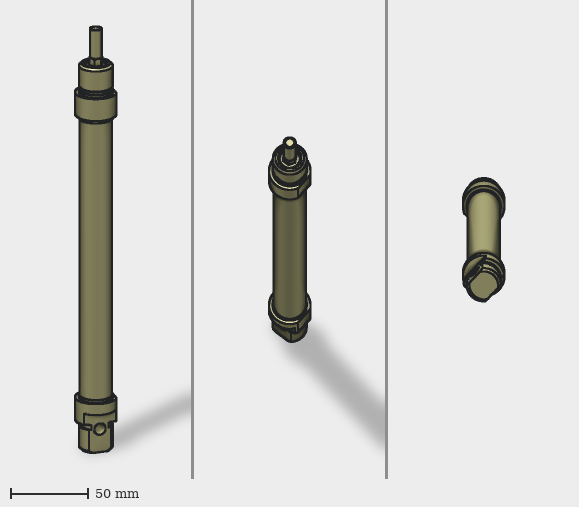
import cadquery as cq
import math

TOTAL_LENGTH = 291.0

THREAD_DIAMETER = 22.0
UNDERCUT_DIAMETER = 19.8
CHAMFER_END_DIAMETER = 18.5
FLANGE_DIAMETER = 27.0
FLANGE_DEPTH = 25.5
FLANGE_FLAT_OFFSET = FLANGE_DEPTH - FLANGE_DIAMETER / 2
END_CHAMFER_HEIGHT = 1.7
UNDERCUT_SLOPE_HEIGHT = 1.0

HOLE_LEVEL = 16.0
REAR_THREAD_TOP = 16.3
REAR_FLANGE_BOTTOM = 20.0
TONGUE_TOP = 28.0
REAR_FLANGE_TOP = 35.5
REAR_CAP_TOP = 37.2

TONGUE_WIDTH = 16.0
HOLE_DIAMETER = 8.0

BARREL_DIAMETER = 21.2

FRONT_CAP_BOTTOM = 229.0
FRONT_FLANGE_BOTTOM = 231.5
FRONT_FLANGE_TOP = 246.8
COLLAR_TOP = 248.5
FRONT_THREAD_BOTTOM = 251.0
FRONT_CAP_TOP = 266.8

RECESS_DIAMETER = 15.0
RECESS_FLOOR_DIAMETER = 13.0
RECESS_DEPTH = 1.0
RECESS_FLOOR = FRONT_CAP_TOP - RECESS_DEPTH

ROD_THREAD_DIAMETER = 8.0
HEX_ACROSS_FLATS = ROD_THREAD_DIAMETER
HEX_TOP = 271.2
HEX_CHAMFER_HEIGHT = 1.0
ROD_END_DIAMETER = 6.0
ROD_END_CHAMFER_HEIGHT = 0.3


def cylinder(diameter, bottom, top):
    """Round bar about the Z axis between two levels."""
    return cq.Workplane("XY").workplane(offset=bottom).circle(diameter / 2).extrude(top - bottom)


def flange(bottom, top):
    """Round flange with one flat on its +Y side."""
    disc = cylinder(FLANGE_DIAMETER, bottom, top)
    keep = (
        cq.Workplane("XY")
        .box(FLANGE_DIAMETER, FLANGE_DEPTH, top - bottom)
        .translate((0, FLANGE_FLAT_OFFSET - FLANGE_DEPTH / 2, (bottom + top) / 2))
    )
    return disc.intersect(keep)


def turned(points):
    """Solid of revolution about Z from (radius, level) points."""
    return cq.Workplane("XZ").polyline(points).close().revolve(360, (0, 0), (0, 1))


def undercut(bottom, top):
    """Neck that slopes back out to the thread diameter at its upper end."""
    return turned([
        (0, bottom),
        (UNDERCUT_DIAMETER / 2, bottom),
        (UNDERCUT_DIAMETER / 2, top - UNDERCUT_SLOPE_HEIGHT),
        (THREAD_DIAMETER / 2, top),
        (0, top),
    ])


def make_rear_cap():
    """Threaded rear cap milled to a flat tongue with a pivot hole along X."""
    thread = turned([
        (0, 0),
        (CHAMFER_END_DIAMETER / 2, 0),
        (THREAD_DIAMETER / 2, END_CHAMFER_HEIGHT),
        (THREAD_DIAMETER / 2, REAR_THREAD_TOP),
        (0, REAR_THREAD_TOP),
    ])
    neck = undercut(REAR_THREAD_TOP, REAR_FLANGE_BOTTOM)
    lip = cylinder(THREAD_DIAMETER, REAR_FLANGE_TOP, REAR_CAP_TOP)
    cap = thread.union(neck).union(flange(REAR_FLANGE_BOTTOM, REAR_FLANGE_TOP)).union(lip)

    side_cut_width = (FLANGE_DIAMETER - TONGUE_WIDTH) / 2
    for side in (-1, 1):
        side_cut = (
            cq.Workplane("XY")
            .box(side_cut_width, FLANGE_DIAMETER, TONGUE_TOP)
            .translate((side * (TONGUE_WIDTH + side_cut_width) / 2, 0, TONGUE_TOP / 2))
        )
        cap = cap.cut(side_cut)

    pivot_hole = (
        cq.Workplane("YZ")
        .center(0, HOLE_LEVEL)
        .circle(HOLE_DIAMETER / 2)
        .extrude(TONGUE_WIDTH / 2, both=True)
    )
    return cap.cut(pivot_hole)


def make_barrel():
    """Plain round barrel held between the two caps."""
    return cylinder(BARREL_DIAMETER, REAR_CAP_TOP, FRONT_CAP_BOTTOM)


def make_front_cap():
    """Threaded front cap with a tapered recess around the rod."""
    lip = cylinder(THREAD_DIAMETER, FRONT_CAP_BOTTOM, FRONT_FLANGE_BOTTOM)
    collar = cylinder(THREAD_DIAMETER, FRONT_FLANGE_TOP, COLLAR_TOP)
    neck = undercut(COLLAR_TOP, FRONT_THREAD_BOTTOM)
    thread = turned([
        (0, FRONT_THREAD_BOTTOM),
        (THREAD_DIAMETER / 2, FRONT_THREAD_BOTTOM),
        (THREAD_DIAMETER / 2, FRONT_CAP_TOP - END_CHAMFER_HEIGHT),
        (CHAMFER_END_DIAMETER / 2, FRONT_CAP_TOP),
        (0, FRONT_CAP_TOP),
    ])
    recess = turned([
        (0, RECESS_FLOOR),
        (RECESS_FLOOR_DIAMETER / 2, RECESS_FLOOR),
        (RECESS_DIAMETER / 2, FRONT_CAP_TOP),
        (0, FRONT_CAP_TOP),
    ])
    cap = lip.union(flange(FRONT_FLANGE_BOTTOM, FRONT_FLANGE_TOP)).union(collar)
    return cap.union(neck).union(thread).cut(recess)


def make_piston_rod():
    """Threaded end above a hexagon that has two corners on the Y axis."""
    corner_diameter = HEX_ACROSS_FLATS / math.cos(math.pi / 6)
    hexagon = (
        cq.Workplane("XY")
        .workplane(offset=RECESS_FLOOR)
        .polygon(6, corner_diameter)
        .extrude(HEX_TOP - RECESS_FLOOR)
        .rotate((0, 0, 0), (0, 0, 1), 30)
    )
    corner_limit = turned([
        (0, RECESS_FLOOR),
        (corner_diameter / 2, RECESS_FLOOR),
        (corner_diameter / 2, HEX_TOP - HEX_CHAMFER_HEIGHT),
        (HEX_ACROSS_FLATS / 2, HEX_TOP),
        (0, HEX_TOP),
    ])
    threaded_end = turned([
        (0, HEX_TOP),
        (ROD_THREAD_DIAMETER / 2, HEX_TOP),
        (ROD_THREAD_DIAMETER / 2, TOTAL_LENGTH - ROD_END_CHAMFER_HEIGHT),
        (ROD_END_DIAMETER / 2, TOTAL_LENGTH),
        (0, TOTAL_LENGTH),
    ])
    return hexagon.intersect(corner_limit).union(threaded_end)


rear_cap = make_rear_cap()
barrel = make_barrel()
front_cap = make_front_cap()
piston_rod = make_piston_rod()

result = cq.Compound.makeCompound([
    rear_cap.val(),
    barrel.val(),
    front_cap.val(),
    piston_rod.val(),
])